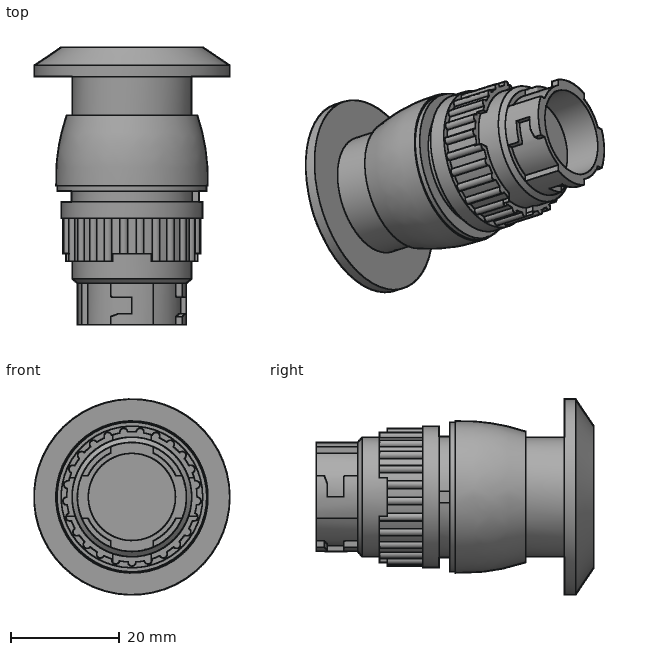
import cadquery as cq
import math


SOCKET_END = 7.6
BODY_CHAMFER_END = 8.45
GRIP_FRONT = 11.65
COLLAR_FRONT = 19.55
COLLAR_BACK = 22.6
BARREL_FRONT = 24.55
BARREL_LIP_END = 25.55
BARREL_BACK = 38.5
HEAD_UNDERSIDE = 45.6
HEAD_RIM_END = 47.65
TOTAL_LENGTH = 51.0

BORE_DIA = 16.0
SOCKET_DIA = 20.05
BODY_DIA = 22.0
NECK_DIA = 22.3
COLLAR_DIA = 26.0
BARREL_LIP_DIA = 27.5
BARREL_MAX_DIA = 27.95
BARREL_BACK_DIA = 24.05
HEAD_DIA = 36.0
HEAD_TOP_DIA = 26.0

BARREL_MID = 31.25
BARREL_MID_DIA = 27.4

BORE_DEPTH = 7.0

RIB_COUNT = 25
RIB_RADIUS = 0.7
GRIP_TIP_DIA = 25.4
GRIP_ROOT_DIA = 23.9
GRIP_NOTCH_WIDTH = 7.05
GRIP_NOTCH_DEPTH = 1.45

KEY_WIDTH = 2.05
KEY_TIP_RADIUS = 12.35

LUG_COUNT = 4
LUG_WIDTH = 7.85
LUG_FLOOR_DIA = 17.95
SLOT_FRONT = 2.05
SLOT_BACK = 5.05
RAMP_LENGTH = 1.5
RAMP_RISE = 0.55
SLOT_CORNER_RADIUS = 0.4

FULL_TURN = 360
QUARTER_TURNS = [turn * FULL_TURN / LUG_COUNT for turn in range(LUG_COUNT)]


def cylinder(diameter, start, end):
    """Solid cylinder on the Y axis between two stations."""
    disc = cq.Workplane("XZ", origin=(0, start, 0)).circle(diameter / 2)
    return disc.extrude(start - end)


def turn_about_axis(shape, angle):
    return shape.rotate((0, 0, 0), (0, 1, 0), angle)


def make_turned_body():
    """Socket, body, neck, collar, barrel, stem and head as one revolved profile."""
    return (
        cq.Workplane("XY")
        .lineTo(SOCKET_DIA / 2, 0)
        .lineTo(SOCKET_DIA / 2, SOCKET_END)
        .lineTo(BODY_DIA / 2, BODY_CHAMFER_END)
        .lineTo(BODY_DIA / 2, COLLAR_FRONT)
        .lineTo(COLLAR_DIA / 2, COLLAR_FRONT)
        .lineTo(COLLAR_DIA / 2, COLLAR_BACK)
        .lineTo(NECK_DIA / 2, COLLAR_BACK)
        .lineTo(NECK_DIA / 2, BARREL_FRONT)
        .lineTo(BARREL_LIP_DIA / 2, BARREL_FRONT)
        .lineTo(BARREL_LIP_DIA / 2, BARREL_LIP_END)
        .lineTo(BARREL_MAX_DIA / 2, BARREL_LIP_END)
        .threePointArc((BARREL_MID_DIA / 2, BARREL_MID), (BARREL_BACK_DIA / 2, BARREL_BACK))
        .lineTo(BODY_DIA / 2, BARREL_BACK)
        .lineTo(BODY_DIA / 2, HEAD_UNDERSIDE)
        .lineTo(HEAD_DIA / 2, HEAD_UNDERSIDE)
        .lineTo(HEAD_DIA / 2, HEAD_RIM_END)
        .lineTo(HEAD_TOP_DIA / 2, TOTAL_LENGTH)
        .lineTo(0, TOTAL_LENGTH)
        .close()
        .revolve(FULL_TURN, (0, 0, 0), (0, 1, 0))
    )


def make_grip_ring():
    """Ribbed ring in front of the collar; one rib points straight down."""
    ring = cylinder(GRIP_ROOT_DIA, GRIP_FRONT, COLLAR_FRONT)
    rib_centre = GRIP_TIP_DIA / 2 - RIB_RADIUS
    ribs = (
        cq.Workplane("XZ", origin=(0, GRIP_FRONT, 0))
        .polarArray(rib_centre, -90, FULL_TURN, RIB_COUNT)
        .circle(RIB_RADIUS)
        .extrude(GRIP_FRONT - COLLAR_FRONT)
    )
    ring = ring.union(ribs)
    notch_back = GRIP_FRONT + GRIP_NOTCH_DEPTH
    for size in [(GRIP_NOTCH_WIDTH, COLLAR_DIA), (COLLAR_DIA, GRIP_NOTCH_WIDTH)]:
        notch = cq.Workplane("XZ", origin=(0, GRIP_FRONT, 0)).rect(*size).extrude(GRIP_FRONT - notch_back)
        ring = ring.cut(notch)
    return ring


def make_key():
    """Radial key on the +X side between the collar and the barrel."""
    return (
        cq.Workplane("XZ", origin=(0, COLLAR_BACK, 0))
        .center(KEY_TIP_RADIUS / 2, 0)
        .rect(KEY_TIP_RADIUS, KEY_WIDTH)
        .extrude(COLLAR_BACK - BARREL_FRONT)
    )


def make_slot_cutter():
    """Cutter for the side slot of the top lug, from its -X edge to its middle, with a lead-in ramp."""
    edge = -LUG_WIDTH / 2
    corner = SLOT_CORNER_RADIUS
    arc_shift = corner * (1 - math.sqrt(0.5))
    return (
        cq.Workplane("XY")
        .moveTo(0, SLOT_FRONT)
        .lineTo(edge + RAMP_LENGTH, SLOT_FRONT)
        .lineTo(edge, SLOT_FRONT - RAMP_RISE)
        .lineTo(edge, SLOT_BACK + corner)
        .threePointArc((edge + arc_shift, SLOT_BACK + arc_shift), (edge + corner, SLOT_BACK))
        .lineTo(0, SLOT_BACK)
        .close()
        .extrude(SOCKET_DIA / 2)
    )


def make_lug_relief():
    """Everything removed around the socket to leave the four slotted lugs."""
    gap_size = SOCKET_DIA / 2
    gap_centre = LUG_WIDTH / 2 + gap_size / 2
    gap = (
        cq.Workplane("XZ")
        .center(gap_centre, gap_centre)
        .rect(gap_size, gap_size)
        .extrude(-SOCKET_END)
    )
    slot = make_slot_cutter()
    relief = cq.Workplane("XY")
    for angle in QUARTER_TURNS:
        relief = relief.union(turn_about_axis(gap, angle))
        relief = relief.union(turn_about_axis(slot, angle))
    return relief.cut(cylinder(LUG_FLOOR_DIA, 0, SOCKET_END))


result = make_turned_body()
result = result.union(make_grip_ring())
result = result.union(make_key())
result = result.cut(make_lug_relief())
result = result.cut(cylinder(BORE_DIA, 0, BORE_DEPTH))